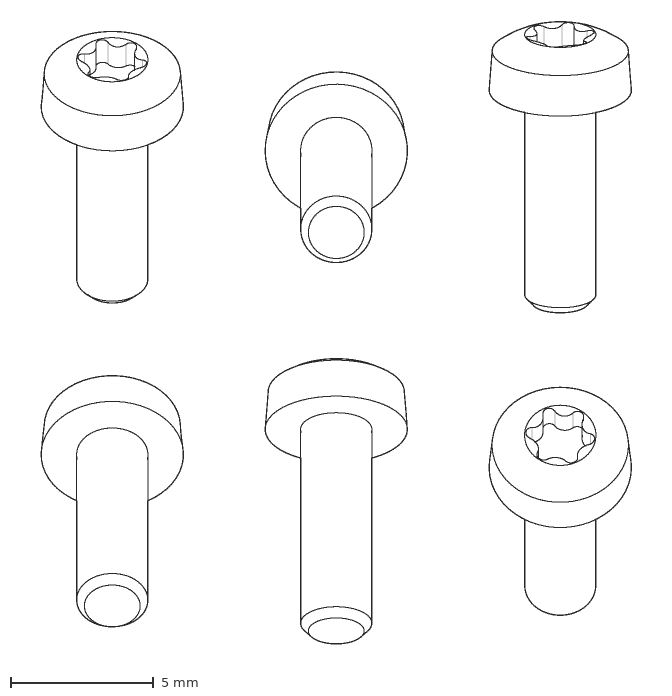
import cadquery as cq
import math

total_length = 10.1
head_height = 2.1
head_radius = 2.5
rim_radius = 2.39
dome_height = 0.62
shank_radius = 1.25
tip_radius = 0.98
tip_chamfer_height = 0.3
recess_mouth_radius = 1.25
recess_depth = 1.02
countersink_depth = 0.1

lobe_count = 6
lobe_outer_radius = 1.21
lobe_inner_radius = 0.87
lobe_tip_radius = 0.23

head_bottom = total_length - head_height
rim_level = total_length - dome_height


def dome_mid_point():
    """Halfway point of the spherical arc, whose centre lies on the screw axis."""
    radius_term = rim_radius**2 - recess_mouth_radius**2
    centre_drop = (radius_term + dome_height**2) / (2 * dome_height)
    dome_radius = math.hypot(centre_drop, recess_mouth_radius)
    mouth_angle = math.asin(recess_mouth_radius / dome_radius)
    rim_angle = math.asin(rim_radius / dome_radius)
    mid_angle = (mouth_angle + rim_angle) / 2
    mid_height = total_length - centre_drop + dome_radius * math.cos(mid_angle)
    return dome_radius * math.sin(mid_angle), mid_height


def make_body():
    """Chamfered shank and tapered, domed head, revolved about Z."""
    return (
        cq.Workplane("XZ")
        .moveTo(0, 0)
        .lineTo(tip_radius, 0)
        .lineTo(shank_radius, tip_chamfer_height)
        .lineTo(shank_radius, head_bottom)
        .lineTo(head_radius, head_bottom)
        .lineTo(rim_radius, rim_level)
        .threePointArc(dome_mid_point(), (recess_mouth_radius, total_length))
        .lineTo(0, total_length)
        .close()
        .revolve(360, (0, 0, 0), (0, 1, 0))
    )


def polar(radius, angle):
    return radius * math.cos(angle), radius * math.sin(angle)


def make_socket():
    """Six-lobe prism made of tangent convex lobe tips and concave flanks."""
    half_pitch = math.pi / lobe_count
    tip_centre = lobe_outer_radius - lobe_tip_radius
    cos_half = math.cos(half_pitch)
    flank_radius = (
        tip_centre**2 + lobe_inner_radius**2 - lobe_tip_radius**2
        - 2 * tip_centre * lobe_inner_radius * cos_half
    ) / (2 * (lobe_tip_radius - lobe_inner_radius + tip_centre * cos_half))
    flank_centre = polar(lobe_inner_radius + flank_radius, half_pitch)
    tip_share = lobe_tip_radius / (lobe_tip_radius + flank_radius)
    tangent_x = tip_centre + tip_share * (flank_centre[0] - tip_centre)
    tangent_y = tip_share * flank_centre[1]
    tangent_radius = math.hypot(tangent_x, tangent_y)
    tangent_angle = math.atan2(tangent_y, tangent_x)

    first_lobe = math.pi / 2
    outline = cq.Workplane("XY", origin=(0, 0, total_length - recess_depth))
    outline = outline.moveTo(*polar(tangent_radius, first_lobe - tangent_angle))
    for index in range(lobe_count):
        lobe = first_lobe + 2 * half_pitch * index
        next_lobe = lobe + 2 * half_pitch
        outline = outline.threePointArc(
            polar(lobe_outer_radius, lobe), polar(tangent_radius, lobe + tangent_angle)
        ).threePointArc(
            polar(lobe_inner_radius, lobe + half_pitch),
            polar(tangent_radius, next_lobe - tangent_angle),
        )
    return outline.close().extrude(recess_depth)


def make_countersink():
    """Shallow cone that reaches its full depth at the socket's inner radius."""
    cone_depth = (
        countersink_depth * recess_mouth_radius / (recess_mouth_radius - lobe_inner_radius)
    )
    return cq.Workplane(
        cq.Solid.makeCone(
            0, recess_mouth_radius, cone_depth, cq.Vector(0, 0, total_length - cone_depth)
        )
    )


result = make_body().cut(make_socket()).cut(make_countersink())